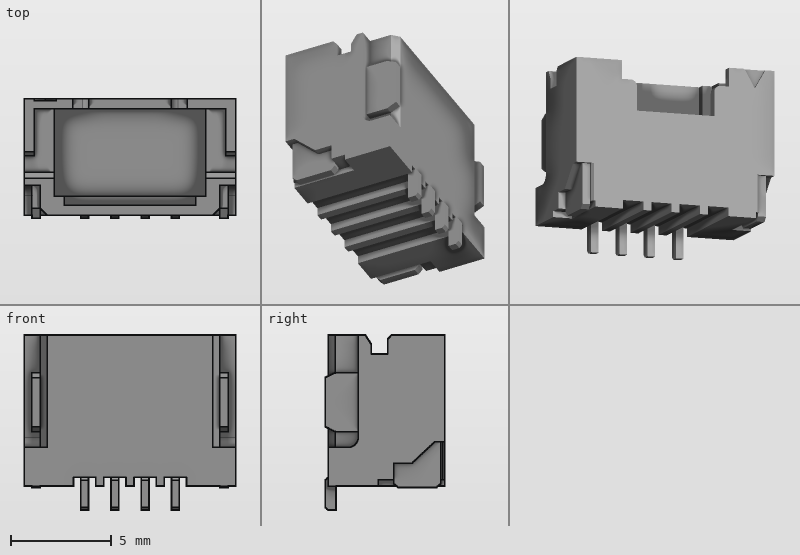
import cadquery as cq

LENGTH = 10.5
DEPTH = 5.8
HEIGHT = 7.5
SIDE = LENGTH / 2
WALL = 0.5

CAVITY_HALF_LENGTH = 3.75
CAVITY_FRONT = 0.95
CAVITY_FLOOR = 3.5
LEDGE_Z = 6.55
KEYWAY_LENGTH = 6.5
KEYWAY_DEPTH = 0.45
KEYWAY_FLOOR = 4.0

NOTCH_FRONT = 2.15
NOTCH_REAR = 2.95
NOTCH_FRONT_BEVEL_RUN = 0.3
NOTCH_FRONT_BEVEL_DROP = 0.47
NOTCH_REAR_BEVEL_RUN = 0.2
NOTCH_REAR_BEVEL_DROP = 0.22

OPENING_HALF_WIDTH = 2.05
OPENING_STEP_HALF_WIDTH = 2.83
OPENING_FLOOR = 5.0
OPENING_ROUND = 0.32

MARK_X = -4.2
MARK_WIDTH = 1.1
MARK_HEIGHT = 0.95
MARK_DEPTH = 0.12

POCKET_WIDTH = 0.8
POCKET_DEPTH = 1.5
POCKET_FLOOR = 1.92
POCKET_ROUND = 0.5
POST_CHAMFER = 0.35

SHEET_INNER = SIDE - POCKET_WIDTH
SHEET_THICKNESS = 0.42

PROUD = 0.15
TAB_BOTTOM = 2.7
TAB_TOP = 5.62
TAB_BEVEL_START = 0.35
TAB_BEVEL_DROP = 0.24

PLATE_REAR_GAP = 0.2
PLATE_FRONT = DEPTH - 2.55
PLATE_SHOULDER_Z = 1.12
PLATE_SLOPE_FRONT = DEPTH - 1.65
PLATE_SLOPE_REAR = DEPTH - 0.5
PLATE_TOP = 2.2
PLATE_DROP = 0.08
PLATE_CORNER = 0.22

RELIEF_WIDTH = 1.0
RELIEF_DEPTH = 3.3
RELIEF_HEIGHT = 0.3
RECESS_EDGE_CHAMFER = 0.12

PIN_COUNT = 4
PIN_PITCH = 1.5
PIN_WIDTH = 0.4
PIN_THICKNESS = 0.55
PIN_BELOW = 1.2
PIN_CHAMFER = 0.15
CHANNEL_WIDTH = 1.08
CHANNEL_HEIGHT = 0.43

PIN_XS = [(i - (PIN_COUNT - 1) / 2) * PIN_PITCH for i in range(PIN_COUNT)]


def block(x0, x1, y0, y1, z0, z1):
    """Axis-aligned box between two opposite corners."""
    return cq.Workplane("XY").box(x1 - x0, y1 - y0, z1 - z0, centered=False).translate((x0, y0, z0))


def side_profile(points, x0, x1):
    """Prism with a (y, z) outline, spanning x0 to x1."""
    return cq.Workplane("YZ").polyline(points).close().extrude(x1 - x0).translate((x0, 0, 0))


def rear_profile(outline, depth):
    """Prism with an (x, z) outline, cut forward from the rear face by depth."""
    return outline.close().extrude(depth).translate((0, DEPTH, 0))


def on_both_sides(left_body):
    """The -X body and its mirror image on the +X side."""
    return [left_body, left_body.mirror("YZ")]


def cavity():
    rear = DEPTH - WALL
    main = block(-CAVITY_HALF_LENGTH, CAVITY_HALF_LENGTH, CAVITY_FRONT, rear, CAVITY_FLOOR, HEIGHT)
    ledges = block(WALL - SIDE, SIDE - WALL, NOTCH_FRONT, rear, LEDGE_Z, HEIGHT)
    keyway = block(-KEYWAY_LENGTH / 2, KEYWAY_LENGTH / 2, CAVITY_FRONT - KEYWAY_DEPTH, CAVITY_FRONT,
                   KEYWAY_FLOOR, HEIGHT)
    return main.union(ledges).union(keyway)


def side_notch():
    outline = [
        (NOTCH_FRONT, LEDGE_Z),
        (NOTCH_REAR, LEDGE_Z),
        (NOTCH_REAR, HEIGHT - NOTCH_REAR_BEVEL_DROP),
        (NOTCH_REAR + NOTCH_REAR_BEVEL_RUN, HEIGHT),
        (NOTCH_FRONT - NOTCH_FRONT_BEVEL_RUN, HEIGHT),
        (NOTCH_FRONT, HEIGHT - NOTCH_FRONT_BEVEL_DROP),
    ]
    return side_profile(outline, -SIDE, SIDE)


def rear_opening():
    round_start = OPENING_HALF_WIDTH + OPENING_ROUND
    round_bottom = LEDGE_Z - OPENING_ROUND
    outline = (
        cq.Workplane("XZ")
        .moveTo(-OPENING_HALF_WIDTH, OPENING_FLOOR)
        .lineTo(OPENING_HALF_WIDTH, OPENING_FLOOR)
        .lineTo(OPENING_HALF_WIDTH, round_bottom)
        .radiusArc((round_start, LEDGE_Z), OPENING_ROUND)
        .lineTo(OPENING_STEP_HALF_WIDTH, LEDGE_Z)
        .lineTo(OPENING_STEP_HALF_WIDTH, HEIGHT)
        .lineTo(-OPENING_STEP_HALF_WIDTH, HEIGHT)
        .lineTo(-OPENING_STEP_HALF_WIDTH, LEDGE_Z)
        .lineTo(-round_start, LEDGE_Z)
        .radiusArc((-OPENING_HALF_WIDTH, round_bottom), OPENING_ROUND)
    )
    return rear_profile(outline, WALL)


def pin_one_mark():
    half = MARK_WIDTH / 2
    outline = cq.Workplane("XZ").polyline([
        (MARK_X - half, HEIGHT),
        (MARK_X + half, HEIGHT),
        (MARK_X, HEIGHT - MARK_HEIGHT),
    ])
    return rear_profile(outline, MARK_DEPTH)


def corner_pocket():
    """Open front corner on the -X side, with a rounded rear-bottom edge and a bevelled post."""
    pocket = block(-SIDE, -SHEET_INNER, 0, POCKET_DEPTH, POCKET_FLOOR, HEIGHT)
    pocket = pocket.edges(">Y and <Z").fillet(POCKET_ROUND)
    post_bevel = (
        cq.Workplane("XY", origin=(-SHEET_INNER, 0, POCKET_FLOOR))
        .polyline([(0, 0), (POST_CHAMFER, 0), (0, POST_CHAMFER)])
        .close()
        .extrude(HEIGHT - POCKET_FLOOR)
    )
    return pocket.union(post_bevel)


def plate_recess():
    """Recess on the -X side, open to the rear and below, with its rear inner edge bevelled."""
    outline = [
        (PLATE_FRONT, 0),
        (PLATE_FRONT, PLATE_SHOULDER_Z),
        (PLATE_SLOPE_FRONT, PLATE_SHOULDER_Z),
        (PLATE_SLOPE_REAR, PLATE_TOP),
        (DEPTH, PLATE_TOP),
        (DEPTH, 0),
    ]
    recess = side_profile(outline, -SIDE, -SHEET_INNER)
    edge_bevel = (
        cq.Workplane("XY", origin=(-SHEET_INNER, DEPTH, 0))
        .polyline([(0, 0), (RECESS_EDGE_CHAMFER, 0), (0, -RECESS_EDGE_CHAMFER)])
        .close()
        .extrude(PLATE_TOP)
    )
    relief = block(-SIDE, RELIEF_WIDTH - SIDE, DEPTH - RELIEF_DEPTH, DEPTH, 0, RELIEF_HEIGHT)
    return recess.union(edge_bevel).union(relief)


def make_housing():
    body = block(-SIDE, SIDE, 0, DEPTH, 0, HEIGHT)
    cutters = [cavity(), side_notch(), rear_opening(), pin_one_mark()]
    cutters += on_both_sides(corner_pocket())
    cutters += on_both_sides(plate_recess())
    half_channel = CHANNEL_WIDTH / 2
    for x in PIN_XS:
        cutters.append(block(x - half_channel, x + half_channel, 0, DEPTH, 0, CHANNEL_HEIGHT))
    for cutter in cutters:
        body = body.cut(cutter)
    return body


def make_sheet(outline):
    """Flat sheet on the -X side, lying against the inner side face."""
    return side_profile(outline, -SHEET_INNER - SHEET_THICKNESS, -SHEET_INNER)


def make_latch_tab():
    return make_sheet([
        (POCKET_DEPTH, TAB_BOTTOM),
        (POCKET_DEPTH, TAB_TOP),
        (TAB_BEVEL_START, TAB_TOP),
        (-PROUD, TAB_TOP - TAB_BEVEL_DROP),
        (-PROUD, TAB_BOTTOM + TAB_BEVEL_DROP),
        (TAB_BEVEL_START, TAB_BOTTOM),
    ])


def make_solder_plate():
    rear = DEPTH - PLATE_REAR_GAP
    corner_z = PLATE_CORNER - PLATE_DROP
    return make_sheet([
        (PLATE_FRONT + PLATE_CORNER, -PLATE_DROP),
        (PLATE_FRONT, corner_z),
        (PLATE_FRONT, PLATE_SHOULDER_Z),
        (PLATE_SLOPE_FRONT, PLATE_SHOULDER_Z),
        (PLATE_SLOPE_REAR, PLATE_TOP),
        (rear, PLATE_TOP),
        (rear, corner_z),
        (rear - PLATE_CORNER, -PLATE_DROP),
    ])


def make_pin(x):
    half = PIN_WIDTH / 2
    pin = block(x - half, x + half, -PROUD, PIN_THICKNESS - PROUD, -PIN_BELOW, CHANNEL_HEIGHT)
    return pin.faces("<Y").edges("|X").chamfer(PIN_CHAMFER)


housing = make_housing()
latch_tabs = on_both_sides(make_latch_tab())
solder_plates = on_both_sides(make_solder_plate())
pins = [make_pin(x) for x in PIN_XS]

bodies = [housing, *latch_tabs, *solder_plates, *pins]
result = cq.Compound.makeCompound([body.val() for body in bodies])